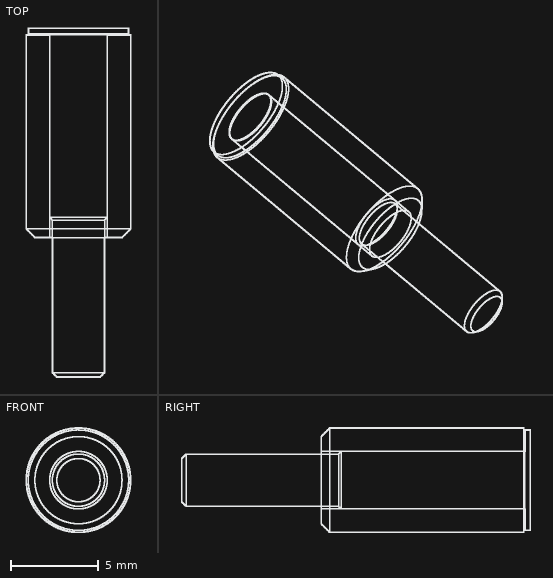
import cadquery as cq

total_length = 20.0

sleeve_diameter = 6.0
sleeve_start = 8.0
sleeve_chamfer = 0.5
bore_diameter = 3.3

stem_diameter = 3.0
tip_chamfer = 0.25
shank_recess = 1.0
shank_start = sleeve_start + shank_recess
shank_chamfer = (bore_diameter - stem_diameter) / 2
head_diameter = 5.75
head_thickness = 0.32
head_gap = 0.05

head_start = total_length - head_thickness
sleeve_length = head_start - head_gap - sleeve_start


def cylinder_along_y(diameter, start, length):
    """Solid cylinder on the Y axis, growing toward +Y from start."""
    plane = cq.Workplane("XZ", origin=(0, start, 0))
    return plane.circle(diameter / 2).extrude(-length)


def make_sleeve():
    """Sleeve with a chamfered front rim and a straight bore right through."""
    body = cylinder_along_y(sleeve_diameter, sleeve_start, sleeve_length)
    body = body.faces("<Y").chamfer(sleeve_chamfer)
    bore = cylinder_along_y(bore_diameter, sleeve_start, sleeve_length)
    return body.cut(bore)


def make_pin():
    """Pin with a chamfered tip, a wider shank filling the bore and a flat head just clear of the sleeve."""
    stem = cylinder_along_y(stem_diameter, 0, shank_start)
    stem = stem.faces("<Y").chamfer(tip_chamfer)
    shank = cylinder_along_y(bore_diameter, shank_start, head_start - shank_start)
    shank = shank.faces("<Y").chamfer(shank_chamfer)
    head = cylinder_along_y(head_diameter, head_start, head_thickness)
    return stem.union(shank).union(head)


sleeve = make_sleeve()
pin = make_pin()
result = cq.Compound.makeCompound([sleeve.val(), pin.val()])